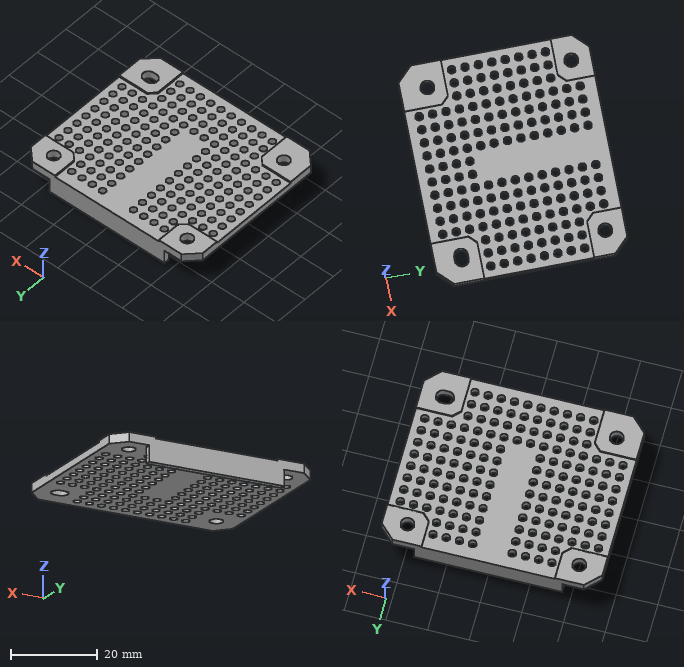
import cadquery as cq

length = 53.0
width = 45.15
height = 6.45
plate_thickness = 2.4
corner_chamfer = 3.5

pad_rise = 0.4
pad_length = 10.5
back_pad_width = 8.55
front_pad_width = 10.65
pad_chamfer = 1.75

lip_length = 35.5
lip_thickness = 1.55

mount_diameter = 3.25
mount_spacing_x = 41.2
mount_spacing_y = 34.0
mount_center_y = 0.8
slot_travel = 1.0
slot_length = mount_diameter + slot_travel

vent_diameter = 1.8
vent_columns = 16
vent_pitch = mount_spacing_x / (vent_columns - 3)
vent_rows = 13
vent_center_y = -0.35
pad_columns = 3
back_pad_rows = 2
front_pad_rows = 3
solid_columns = 2
solid_end_row = 9

floor_z = plate_thickness - pad_rise
lip_bottom_z = plate_thickness - height


def plate_outline(thickness):
    """Chamfered rectangle standing on the underside of the plate."""
    blank = cq.Workplane("XY").box(length, width, thickness, centered=(True, True, False))
    return blank.edges("|Z").chamfer(corner_chamfer)


def corner_pad(side_x, side_y):
    """Block covering one corner, with its innermost vertical edge chamfered."""
    pad_width = back_pad_width if side_y > 0 else front_pad_width
    inner_x = length / 2 - pad_length
    inner_y = width / 2 - pad_width
    corners = [
        (inner_x + pad_chamfer, inner_y),
        (length / 2, inner_y),
        (length / 2, width / 2),
        (inner_x, width / 2),
        (inner_x, inner_y + pad_chamfer),
    ]
    points = [(side_x * x, side_y * y) for x, y in corners]
    return cq.Workplane("XY").polyline(points).close().extrude(plate_thickness)


def has_vent(column, row):
    """Tell whether the grid has a hole; row 0 is at the back."""
    from_side = min(column, vent_columns - 1 - column)
    beside_pad = row < back_pad_rows or row >= vent_rows - front_pad_rows
    if beside_pad and from_side < pad_columns:
        return False
    in_middle = from_side >= (vent_columns - solid_columns) / 2
    return not (in_middle and row < solid_end_row)


def vent_position(column, row):
    """Center of one vent hole."""
    x = (column - (vent_columns - 1) / 2) * vent_pitch
    y = vent_center_y - (row - (vent_rows - 1) / 2) * vent_pitch
    return x, y


plate = plate_outline(floor_z)
full_height_plate = plate_outline(plate_thickness)
for side_x in (-1, 1):
    for side_y in (-1, 1):
        plate = plate.union(corner_pad(side_x, side_y).intersect(full_height_plate))

lip = (
    cq.Workplane("XY")
    .box(lip_length, lip_thickness, floor_z - lip_bottom_z, centered=(True, False, False))
    .translate((0, width / 2 - lip_thickness, lip_bottom_z))
)
plate = plate.union(lip)

mount_x = mount_spacing_x / 2
back_y = mount_center_y + mount_spacing_y / 2
front_y = mount_center_y - mount_spacing_y / 2
round_holes = (
    cq.Workplane("XY")
    .pushPoints([(-mount_x, back_y), (mount_x, back_y), (-mount_x, front_y)])
    .circle(mount_diameter / 2)
    .extrude(plate_thickness)
)
slot = cq.Workplane("XY").center(mount_x, front_y).slot2D(slot_length, mount_diameter).extrude(plate_thickness)

vent_points = [
    vent_position(column, row)
    for column in range(vent_columns)
    for row in range(vent_rows)
    if has_vent(column, row)
]
vents = cq.Workplane("XY").pushPoints(vent_points).circle(vent_diameter / 2).extrude(plate_thickness)

result = plate.cut(round_holes).cut(slot).cut(vents)